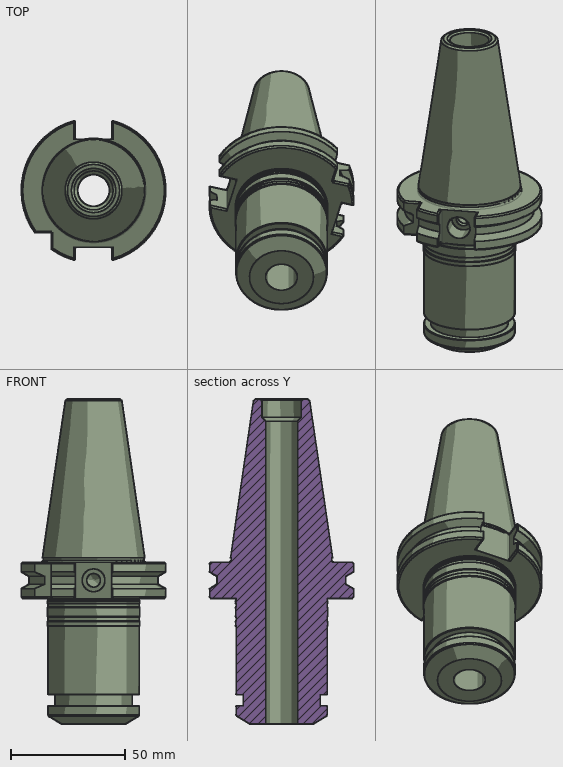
import cadquery as cq
import math

total_height = 142.2
flange_bottom = 54.9
flange_height = 16.0
flange_top = flange_bottom + flange_height

taper_slope = 7 / 24 / 2
gauge_radius = 44.5 / 2
gauge_z = 74.0
taper_bottom = 72.7
taper_neck_radius = 44.2 / 2
taper_neck_fillet = 0.7
top_chamfer_depth = 0.9
top_face_radius = 22.8 / 2

flange_radius = 63.3 / 2
edge_chamfer = 0.7
groove_floor_radius = 56.6 / 2
groove_z = flange_bottom + flange_height / 2
groove_floor_half_width = 1.7
groove_flank_angle = 30.0

slot_width = 16.0
front_slot_floor = 24.9
back_slot_floor = 22.5
notch_offset = 18.5
inner_corner_fillet = 0.4

shank_radius = 40.0 / 2
band_radius = 40.5 / 2
band_bevel = 0.3
bands = [(43.1, 44.8), (47.1, 50.9), (52.9, 53.8)]
waist_radius = 34.0 / 2
waist_bottom = 8.1
waist_top = 12.8
waist_chamfer = 0.3
end_edge_z = 4.1
end_cone_top_radius = 39.4 / 2
end_cone_top = 3.4
end_face_radius = 28.0 / 2

bore_radius = 13.8 / 2
counterbore_radius = 17.0 / 2
counterbore_depth = 8.1
bore_mouth_radius = 19.3 / 2
bore_mouth_depth = 0.7

side_hole_diameter = 10.0
side_hole_depth = 10.0
pilot_diameter = 6.0
pilot_depth = 2.8
drill_point_angle = 118.0


def taper_radius(z):
    """Radius of the steep taper at height z."""
    return gauge_radius - (z - gauge_z) * taper_slope


def make_body():
    """Revolve the outer profile, from the lower end up to the small end of the taper."""
    profile = [
        (0, 0),
        (end_face_radius, 0),
        (end_cone_top_radius, end_cone_top),
        (shank_radius, end_edge_z),
        (shank_radius, waist_bottom - waist_chamfer),
        (shank_radius - waist_chamfer, waist_bottom),
        (waist_radius, waist_bottom),
        (waist_radius, waist_top),
        (shank_radius - waist_chamfer, waist_top),
        (shank_radius, waist_top + waist_chamfer),
    ]
    for band_bottom, band_top in bands:
        profile += [
            (shank_radius, band_bottom - band_bevel),
            (band_radius, band_bottom),
            (band_radius, band_top),
            (shank_radius, band_top + band_bevel),
        ]
    groove_rim_half_width = groove_floor_half_width + (
        (flange_radius - groove_floor_radius) * math.tan(math.radians(groove_flank_angle))
    )
    profile += [
        (shank_radius, flange_bottom),
        (flange_radius - edge_chamfer, flange_bottom),
        (flange_radius, flange_bottom + edge_chamfer),
        (flange_radius, groove_z - groove_rim_half_width),
        (groove_floor_radius, groove_z - groove_floor_half_width),
        (groove_floor_radius, groove_z + groove_floor_half_width),
        (flange_radius, groove_z + groove_rim_half_width),
        (flange_radius, flange_top - edge_chamfer),
        (flange_radius - edge_chamfer, flange_top),
        (taper_neck_radius + taper_neck_fillet, flange_top),
    ]
    fillet_middle = taper_neck_fillet * (1 - math.sqrt(0.5))
    taper_top = total_height - top_chamfer_depth
    return (
        cq.Workplane("XZ")
        .polyline(profile)
        .threePointArc(
            (taper_neck_radius + fillet_middle, flange_top + fillet_middle),
            (taper_neck_radius, flange_top + taper_neck_fillet),
        )
        .lineTo(taper_neck_radius, taper_bottom)
        .lineTo(taper_radius(taper_bottom), taper_bottom)
        .lineTo(taper_radius(taper_top), taper_top)
        .lineTo(top_face_radius, total_height)
        .lineTo(0, total_height)
        .close()
        .revolve(360, (0, 0, 0), (0, 1, 0))
    )


def make_bore():
    """Through bore with a counterbore and a chamfered mouth at the top."""
    seat_z = total_height - counterbore_depth
    profile = [
        (0, 0),
        (bore_radius, 0),
        (bore_radius, seat_z - (counterbore_radius - bore_radius)),
        (counterbore_radius, seat_z),
        (counterbore_radius, total_height - bore_mouth_depth),
        (bore_mouth_radius, total_height),
        (0, total_height),
    ]
    return cq.Workplane("XZ").polyline(profile).close().revolve(360, (0, 0, 0), (0, 1, 0))


def flange_block(x_min, x_max, y_min, y_max):
    """Box through the full flange height."""
    return (
        cq.Workplane("XY", origin=(0, 0, flange_bottom))
        .center((x_min + x_max) / 2, (y_min + y_max) / 2)
        .rect(x_max - x_min, y_max - y_min)
        .extrude(flange_height)
    )


def edge_bevel(start, direction, length, normals):
    """Triangular prism that bevels a straight edge between two faces with the given outward normals."""
    corner = cq.Vector(*start)
    legs = [corner - cq.Vector(*normal) * edge_chamfer for normal in normals]
    triangle = cq.Wire.makePolygon([corner] + legs, close=True)
    return cq.Workplane(cq.Solid.extrudeLinear(triangle, [], cq.Vector(*direction) * length))


def horizontal_bevels(start, direction, length, wall_normal):
    """Bevels along the upper and lower edges of a wall cut through the flange."""
    x, y = start
    lower = edge_bevel((x, y, flange_bottom), direction, length, [wall_normal, (0, 0, -1)])
    upper = edge_bevel((x, y, flange_top), direction, length, [wall_normal, (0, 0, 1)])
    return lower.union(upper)


def make_slot(floor, side):
    """Drive slot on the +Y (side = 1) or -Y (side = -1) side, with bevelled walls."""
    half_width = slot_width / 2
    outer = side * flange_radius
    cutter = flange_block(-half_width, half_width, min(side * floor, outer), max(side * floor, outer))
    cutter = cutter.edges("|Z").edges("<Y" if side > 0 else ">Y").fillet(inner_corner_fillet)
    rim_y = math.sqrt(flange_radius ** 2 - half_width ** 2)
    for wall in (-1, 1):
        x = wall * half_width
        wall_normal = (-wall, 0, 0)
        cutter = cutter.union(
            horizontal_bevels((x, side * floor), (0, side, 0), flange_radius - floor, wall_normal)
        )
        rim_normal = (x / flange_radius, side * rim_y / flange_radius, 0)
        cutter = cutter.union(
            edge_bevel((x, side * rim_y, flange_bottom), (0, 0, 1), flange_height, [wall_normal, rim_normal])
        )
    return cutter


def make_notch():
    """Square orientation notch in the -X, -Y quadrant, with bevelled upper and lower edges."""
    corner = (-notch_offset, -notch_offset)
    length = flange_radius - notch_offset
    cutter = flange_block(-flange_radius, -notch_offset, -flange_radius, -notch_offset)
    cutter = cutter.edges("|Z and >X and >Y").fillet(inner_corner_fillet)
    cutter = cutter.union(horizontal_bevels(corner, (-1, 0, 0), length, (0, -1, 0)))
    return cutter.union(horizontal_bevels(corner, (0, -1, 0), length, (-1, 0, 0)))


def make_side_hole():
    """Stepped blind hole with a conical end, entering from the front slot floor."""
    pilot_radius = pilot_diameter / 2
    pilot_end = side_hole_depth + pilot_depth
    tip = pilot_end + pilot_radius / math.tan(math.radians(drill_point_angle / 2))
    profile = [
        (0, 0),
        (side_hole_diameter / 2, 0),
        (side_hole_diameter / 2, side_hole_depth),
        (pilot_radius, side_hole_depth),
        (pilot_radius, pilot_end),
        (0, tip),
    ]
    axis_plane = cq.Plane(origin=(0, -front_slot_floor, groove_z), xDir=(1, 0, 0), normal=(0, 0, 1))
    return cq.Workplane(axis_plane).polyline(profile).close().revolve(360, (0, 0, 0), (0, 1, 0))


result = (
    make_body()
    .cut(make_bore())
    .cut(make_slot(front_slot_floor, -1))
    .cut(make_slot(back_slot_floor, 1))
    .cut(make_notch())
    .cut(make_side_hole())
)